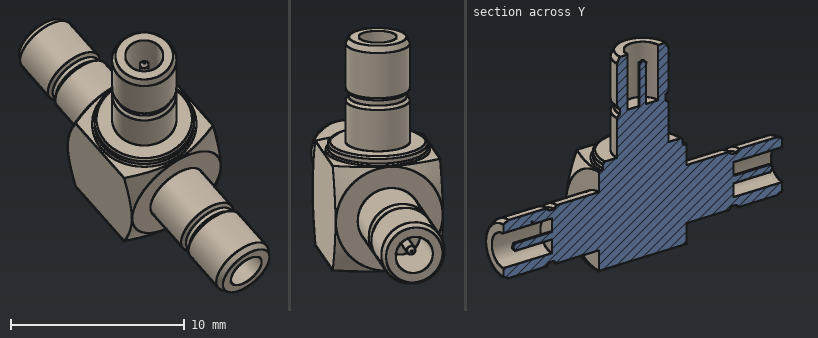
import cadquery as cq
import math

body_side = 6.35
body_half = body_side / 2
overall_length = 20.07
arm_reach = overall_length / 2

end_face_diameter = 6.3
corner_cone_angle = 30.0

barrel_diameter = 3.73
tip_diameter = 3.33
tip_chamfer_length = 0.38
groove_diameter = 3.33
groove_start = 3.12
groove_width = 0.72
bore_diameter = 2.19
bore_depth = 3.5

pin_diameter = 0.51
pin_recess = 0.69
pin_end_diameter = 0.1
pin_taper_length = 0.2

collar_diameter = 5.77
collar_height = 0.51
collar_chamfer = 0.13
collar_foot_diameter = 6.03
collar_foot_height = 0.1


def revolve_about_z(profile):
    """Revolve (radius, height) points lying in the XZ plane about the Z axis."""
    return cq.Workplane("XZ").polyline(profile).close().revolve(360, (0, 0, 0), (0, 1, 0))


def make_body():
    cube = cq.Workplane("XY").box(body_side, body_side, body_side)
    corner_radius = body_side
    end_radius = end_face_diameter / 2
    cone_length = (corner_radius - end_radius) * math.tan(math.radians(corner_cone_angle))
    shoulder = body_half - cone_length
    turned_blank = revolve_about_z([
        (0, -body_half),
        (end_radius, -body_half),
        (corner_radius, -shoulder),
        (corner_radius, shoulder),
        (end_radius, body_half),
        (0, body_half),
    ])
    return cube.intersect(turned_blank.rotate((0, 0, 0), (0, 1, 0), 90))


def make_arm():
    """Upright arm with its bore and contact pin, starting on the body's top face."""
    barrel_radius = barrel_diameter / 2
    groove_radius = groove_diameter / 2
    groove_flank = barrel_radius - groove_radius
    groove_top = arm_reach - groove_start
    groove_bottom = groove_top - groove_width
    bore_radius = bore_diameter / 2
    bore_floor = arm_reach - bore_depth
    pin_radius = pin_diameter / 2
    pin_tip = arm_reach - pin_recess
    return revolve_about_z([
        (0, body_half),
        (barrel_radius, body_half),
        (barrel_radius, groove_bottom),
        (groove_radius, groove_bottom + groove_flank),
        (groove_radius, groove_top - groove_flank),
        (barrel_radius, groove_top),
        (barrel_radius, arm_reach - tip_chamfer_length),
        (tip_diameter / 2, arm_reach),
        (bore_radius, arm_reach),
        (bore_radius, bore_floor),
        (pin_radius, bore_floor),
        (pin_radius, pin_tip - pin_taper_length),
        (pin_end_diameter / 2, pin_tip),
        (0, pin_tip),
    ])


def make_collar():
    collar_radius = collar_diameter / 2
    collar_top = body_half + collar_height
    return revolve_about_z([
        (0, body_half),
        (collar_foot_diameter / 2, body_half),
        (collar_radius, body_half + collar_foot_height),
        (collar_radius, collar_top - collar_chamfer),
        (collar_radius - collar_chamfer, collar_top),
        (0, collar_top),
    ])


result = make_body().union(make_collar())
for tilt in (-90, 0, 90):
    result = result.union(make_arm().rotate((0, 0, 0), (0, 1, 0), tilt))